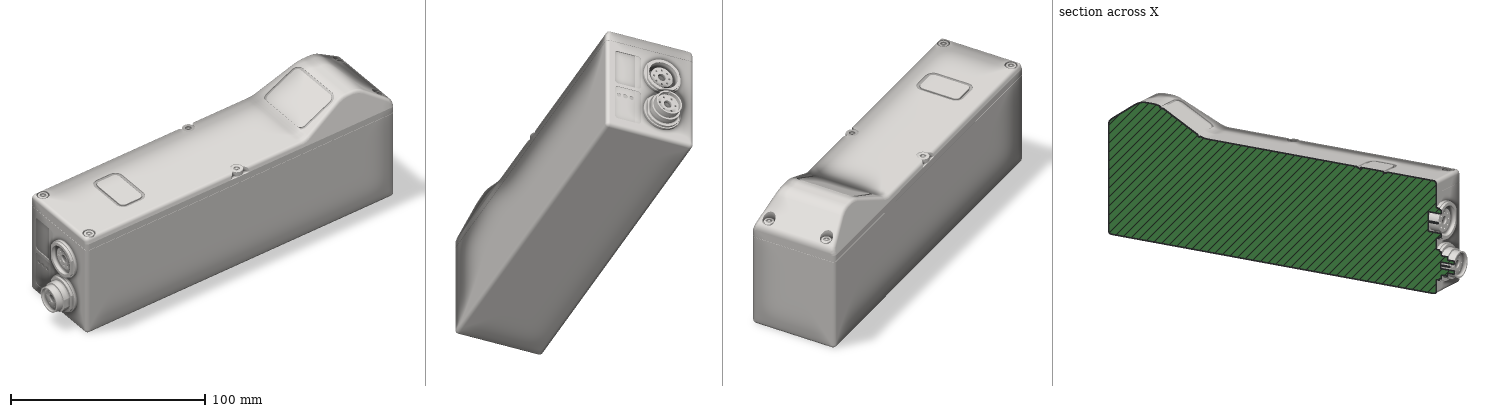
import cadquery as cq
import math

WIDTH = 49.0
LENGTH = 197.0
HEIGHT = 75.0
LID_TOP = 61.3
SIDE_BREAK = 58.3
SEAM_HEIGHT = 54.4
SEAM_GAP = 0.3
SEAM_DEPTH = 0.15
SIDE_DRAFT = math.radians(17.5)
EDGE_RADIUS = 2.0
REAR_EDGE_RADIUS = 4.5

HUMP_RADIUS = 12.0
FRONT_SLOPE = math.radians(27.4)
REAR_SLOPE = math.radians(35.5)
CREST_FRONT = LENGTH - 27.0
CREST_REAR = LENGTH - 23.0

PANE_GROOVE = 1.4
PANE_GROOVE_DEPTH = 0.6
PANE_GAP = 0.5
PANE_GAP_DEPTH = 1.0
PANE_RADIUS = 4.5
TOP_PANE = (27.2, 17.5)
TOP_PANE_Y = 38.85
SLOPE_PANE = (34.6, 26.6)

SCREW_DEPTH = 1.5
SCREW_HEAD_DROP = 0.3
SOCKET_DEPTH = 0.8
SOCKET_RADIUS = 1.7
SOCKET_PIN_RADIUS = 0.6
CORNER_SCREW_RADIUS = 3.4
CORNER_SCREW_GAP = 0.8
MIDDLE_SCREW_RADIUS = 3.3
FRONT_SCREW = (20.0, 4.8)
REAR_SCREW = (17.0, LENGTH - 4.8)
MIDDLE_SCREW = (21.0, LENGTH / 2)
REAR_SCREW_FLOOR = 62.5
NOTCH_HALF_LENGTH = 5.9

CONNECTOR_X = 6.1
UPPER_CONNECTOR_Z = 38.6
LOWER_CONNECTOR_Z = 16.1
FLANGE_RADIUS = 10.3
FLANGE_LENGTH = 1.6
NUT_RADIUS = 9.7
NUT_LENGTH = 3.0
NUT_FLAT = 8.7
COLLAR_RADIUS = 8.1
COLLAR_FLAT = 7.65
COLLAR_LENGTH = 6.7
BARREL_RADIUS = 7.1
BARREL_LENGTH = 10.7
UPPER_BORE_RADIUS = 8.0
LOWER_BORE_RADIUS = 6.3
BORE_DEPTH = 8.0
INSERT_RADIUS = 6.1
INSERT_LENGTH = 6.0
PIN_CIRCLE = 4.3
PIN_RADIUS = 0.6
PIN_HOLE_DEPTH = 2.0
CORE_RADIUS = 2.2
KEY_RADIUS = 0.6
UPPER_PIN_COUNT = 8
LOWER_PIN_COUNT = 6

LABEL_WIDTH = 14.7
LABEL_HEIGHT = 20.6
LABEL_RADIUS = 1.8
LABEL_X = -12.5
LABEL_DEPTH = 0.2
LABEL_STEP_X = -8.4
DISPLAY_DEPTH = 0.6
LEGEND_DEPTH = 0.3
LED_RADIUS = 1.2
LED_DEPTH = 0.6
LED_COUNT = 3
LED_PITCH = 3.5
LED_RIGHT_X = -10.4
LED_Z = 21.3


def front_plane(x, z):
    """Sketch plane on the front panel, facing out of the part."""
    return cq.Workplane("XZ", origin=(x, 0, z))


def side_outline():
    """Side profile of the housing: box, flat lid and rounded hump."""
    front_sin, front_cos = math.sin(FRONT_SLOPE), math.cos(FRONT_SLOPE)
    rear_sin, rear_cos = math.sin(REAR_SLOPE), math.cos(REAR_SLOPE)
    half_front, half_rear = FRONT_SLOPE / 2, REAR_SLOPE / 2
    r = HUMP_RADIUS
    slope_top = (CREST_FRONT - r * front_sin, HEIGHT - r * (1 - front_cos))
    slope_foot_z = LID_TOP + r * (1 - front_cos)
    slope_foot = (slope_top[0] - (slope_top[1] - slope_foot_z) / math.tan(FRONT_SLOPE), slope_foot_z)
    flat_end = slope_foot[0] - r * front_sin
    foot_mid = (flat_end + r * math.sin(half_front), LID_TOP + r * (1 - math.cos(half_front)))
    front_mid = (CREST_FRONT - r * math.sin(half_front), HEIGHT - r * (1 - math.cos(half_front)))
    rear_mid = (CREST_REAR + r * math.sin(half_rear), HEIGHT - r * (1 - math.cos(half_rear)))
    rear_top = (CREST_REAR + r * rear_sin, HEIGHT - r * (1 - rear_cos))
    rear_foot = (LENGTH, rear_top[1] - (LENGTH - rear_top[0]) * math.tan(REAR_SLOPE))
    outline = (
        cq.Workplane("YZ", origin=(-WIDTH / 2, 0, 0))
        .moveTo(0, 0)
        .lineTo(0, LID_TOP)
        .lineTo(flat_end, LID_TOP)
        .threePointArc(foot_mid, slope_foot)
        .lineTo(*slope_top)
        .threePointArc(front_mid, (CREST_FRONT, HEIGHT))
        .lineTo(CREST_REAR, HEIGHT)
        .threePointArc(rear_mid, rear_top)
        .lineTo(*rear_foot)
        .lineTo(LENGTH, 0)
        .close()
    )
    slope_centre = ((slope_top[0] + slope_foot[0]) / 2, (slope_top[1] + slope_foot[1]) / 2)
    return outline, slope_centre


def housing():
    """Side profile trimmed by the leaning sides, with every outer edge rounded."""
    outline, slope_centre = side_outline()
    half = WIDTH / 2
    top_half = half - (HEIGHT - SIDE_BREAK) * math.tan(SIDE_DRAFT)
    section = (
        cq.Workplane("XZ", origin=(0, LENGTH, 0))
        .polyline([
            (-half, 0), (half, 0), (half, SIDE_BREAK),
            (top_half, HEIGHT), (-top_half, HEIGHT), (-half, SIDE_BREAK),
        ])
        .close()
        .extrude(LENGTH)
    )
    body = outline.extrude(WIDTH).intersect(section)
    body = body.faces(">Y").edges(">Z").fillet(REAR_EDGE_RADIUS)
    margin = 1
    break_line = cq.selectors.BoxSelector(
        (-WIDTH, EDGE_RADIUS, SIDE_BREAK - margin), (WIDTH, LENGTH - EDGE_RADIUS, SIDE_BREAK + margin)
    )
    across_lid = cq.selectors.BoxSelector(
        (-margin, EDGE_RADIUS, LID_TOP - margin), (margin, LENGTH, HEIGHT + margin)
    )
    rounded = body.edges(-(break_line + across_lid)).fillet(EDGE_RADIUS)
    return rounded, slope_centre


def seam_groove():
    """Shallow ring around the housing at the joint between box and lid."""
    blank = (
        cq.Workplane("XY", origin=(0, LENGTH / 2, SEAM_HEIGHT - SEAM_GAP / 2))
        .rect(2 * WIDTH, 2 * LENGTH)
        .extrude(SEAM_GAP)
    )
    core = (
        cq.Workplane("XY", origin=(0, LENGTH / 2, 0))
        .rect(WIDTH - 2 * SEAM_DEPTH, LENGTH - 2 * SEAM_DEPTH)
        .extrude(HEIGHT)
        .edges("|Z")
        .fillet(EDGE_RADIUS - SEAM_DEPTH)
    )
    return blank.cut(core)


def rounded_panel(plane, size, inset, depth):
    """Rounded rectangle, inset from the given size and sunk into the plane."""
    inset_size = [side - 2 * inset for side in size]
    outline = cq.Sketch().rect(*inset_size).vertices().fillet(PANE_RADIUS - inset)
    return cq.Workplane(plane).placeSketch(outline).extrude(-depth)


def pane_groove(plane, size, inset, width, depth):
    """Narrow groove around a flush pane, starting at an inset from the given size."""
    outer = rounded_panel(plane, size, inset, depth)
    return outer.cut(rounded_panel(plane, size, inset + width, depth))


def screw_recess(x, y, floor_z, radius, gap):
    """Counterbore around a screw head with a round, pinned socket; a zero gap makes the head fill it."""
    floor = cq.Workplane("XY", origin=(x, y, floor_z))
    head_height = SCREW_DEPTH - SCREW_HEAD_DROP
    bore = floor.circle(radius).extrude(HEIGHT - floor_z)
    head = floor.circle(radius - gap).extrude(head_height)
    socket = (
        floor.workplane(offset=head_height)
        .circle(SOCKET_RADIUS)
        .circle(SOCKET_PIN_RADIUS)
        .extrude(-SOCKET_DEPTH)
    )
    return bore.cut(head).union(socket)


def side_notch(side):
    """Notch that opens outwards at 45 degrees through the leaning wall beside a middle screw."""
    x, y = MIDDLE_SCREW
    wall = WIDTH / 2
    inner_half = NOTCH_HALF_LENGTH - (wall - x)
    floor = cq.Workplane("XY", origin=(0, y, SIDE_BREAK))
    return (
        floor.polyline([
            (side * x, -inner_half), (side * wall, -NOTCH_HALF_LENGTH),
            (side * wall, NOTCH_HALF_LENGTH), (side * x, inner_half),
        ])
        .close()
        .extrude(LID_TOP - SIDE_BREAK)
    )


def middle_screw_head(side):
    """Cylinder of a middle screw head, standing proud of the leaning wall inside its notch."""
    x, y = MIDDLE_SCREW
    floor = cq.Workplane("XY", origin=(side * x, y, SIDE_BREAK))
    return floor.circle(MIDDLE_SCREW_RADIUS).extrude(LID_TOP - SIDE_BREAK)


def flatted_disc(plane, radius, flat, length):
    """Disc with two wrench flats, one on each side along X."""
    flats = plane.rect(2 * flat, 2 * radius).extrude(length)
    return plane.circle(radius).extrude(length).intersect(flats)


def connector_nut(x, z):
    """Round flange and a nut with two wrench flats."""
    plane = front_plane(x, z)
    flange = plane.circle(FLANGE_RADIUS).extrude(FLANGE_LENGTH)
    return flange.union(flatted_disc(plane, NUT_RADIUS, NUT_FLAT, NUT_LENGTH))


def connector_socket(x, z, length, bore_radius, pin_count):
    """Bore of a connector, leaving the contact insert at its bottom with pin holes around a core hole."""
    mouth = front_plane(x, z).workplane(offset=length)
    bore = mouth.circle(bore_radius).extrude(-BORE_DEPTH)
    insert_base = mouth.workplane(offset=-BORE_DEPTH)
    insert = insert_base.circle(INSERT_RADIUS).extrude(INSERT_LENGTH)
    insert_top = insert_base.workplane(offset=INSERT_LENGTH)
    pins = (
        insert_top.polarArray(PIN_CIRCLE, 0, 360, pin_count)
        .circle(PIN_RADIUS)
        .extrude(-PIN_HOLE_DEPTH)
    )
    core = insert_top.circle(CORE_RADIUS).extrude(-PIN_HOLE_DEPTH)
    return bore.cut(insert).union(pins).union(core)


def upper_connector(body):
    """Flush connector: a nut around an open bore."""
    body = body.union(connector_nut(CONNECTOR_X, UPPER_CONNECTOR_Z))
    return body.cut(connector_socket(
        CONNECTOR_X, UPPER_CONNECTOR_Z, NUT_LENGTH, UPPER_BORE_RADIUS, UPPER_PIN_COUNT
    ))


def lower_connector(body):
    """Projecting connector: nut, collar with two wrench flats, plain barrel and a keyed bore."""
    x, z = CONNECTOR_X, LOWER_CONNECTOR_Z
    plane = front_plane(x, z)
    collar = flatted_disc(plane, COLLAR_RADIUS, COLLAR_FLAT, COLLAR_LENGTH)
    barrel = plane.circle(BARREL_RADIUS).extrude(BARREL_LENGTH)
    body = body.union(connector_nut(x, z)).union(collar).union(barrel)
    body = body.cut(connector_socket(x, z, BARREL_LENGTH, LOWER_BORE_RADIUS, LOWER_PIN_COUNT))
    key = (
        front_plane(x, z + LOWER_BORE_RADIUS)
        .workplane(offset=BARREL_LENGTH)
        .circle(KEY_RADIUS)
        .extrude(-BORE_DEPTH)
    )
    return body.cut(key)


def label_recess(z, left_depth):
    """Rounded label recess whose left part lies deeper than the strip on its right."""
    plane = front_plane(LABEL_X, z)
    outline = cq.Sketch().rect(LABEL_WIDTH, LABEL_HEIGHT).vertices().fillet(LABEL_RADIUS)
    left_width = LABEL_STEP_X - (LABEL_X - LABEL_WIDTH / 2)
    left_half = (
        front_plane(LABEL_STEP_X - left_width / 2, z)
        .rect(left_width, LABEL_HEIGHT)
        .extrude(-left_depth)
    )
    deep = plane.placeSketch(outline).extrude(-left_depth).intersect(left_half)
    return plane.placeSketch(outline).extrude(-LABEL_DEPTH).union(deep)


def led_holes():
    """Row of three indicator holes in the lower label."""
    holes = cq.Workplane("XZ")
    for index in range(LED_COUNT):
        x = LED_RIGHT_X - index * LED_PITCH
        holes = holes.union(front_plane(x, LED_Z).circle(LED_RADIUS).extrude(-LED_DEPTH))
    return holes


body, slope_centre = housing()
body = body.cut(seam_groove())

top_plane = cq.Plane(origin=(0, TOP_PANE_Y, LID_TOP))
slope_normal = (0, -math.sin(FRONT_SLOPE), math.cos(FRONT_SLOPE))
slope_plane = cq.Plane(origin=(0, *slope_centre), xDir=(1, 0, 0), normal=slope_normal)
body = body.cut(pane_groove(top_plane, TOP_PANE, 0, PANE_GROOVE, PANE_GROOVE_DEPTH))
body = body.cut(pane_groove(top_plane, TOP_PANE, PANE_GROOVE, PANE_GAP, PANE_GAP_DEPTH))
body = body.cut(pane_groove(slope_plane, SLOPE_PANE, 0, PANE_GROOVE, PANE_GROOVE_DEPTH))

for side in (-1, 1):
    body = body.cut(side_notch(side)).union(middle_screw_head(side))
    lid_floor = LID_TOP - SCREW_DEPTH
    for (x, y), floor_z, radius, gap in (
        (FRONT_SCREW, lid_floor, CORNER_SCREW_RADIUS, CORNER_SCREW_GAP),
        (MIDDLE_SCREW, lid_floor, MIDDLE_SCREW_RADIUS, 0),
        (REAR_SCREW, REAR_SCREW_FLOOR, CORNER_SCREW_RADIUS, CORNER_SCREW_GAP),
    ):
        body = body.cut(screw_recess(side * x, y, floor_z, radius, gap))

body = upper_connector(body)
body = lower_connector(body)
body = body.cut(label_recess(UPPER_CONNECTOR_Z, DISPLAY_DEPTH))
body = body.cut(label_recess(LOWER_CONNECTOR_Z, LEGEND_DEPTH))
result = body.cut(led_holes())